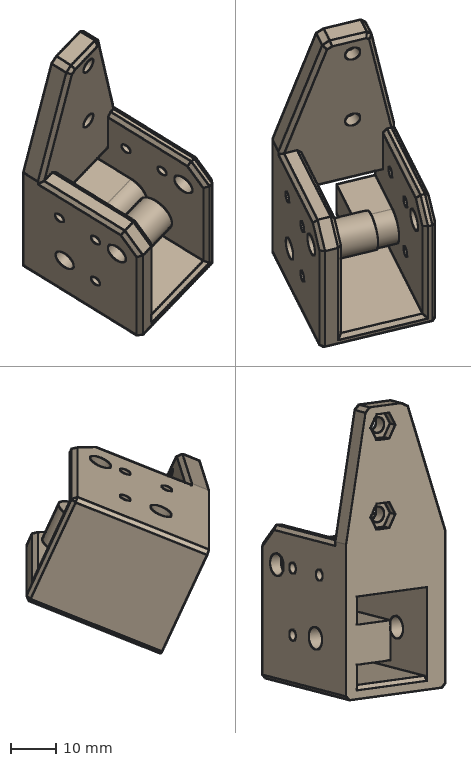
import cadquery as cq

LENGTH = 32.5
WIDTH = 27.0
HEIGHT = 65.0
CHAMFER = 1.0

PLATE_THICKNESS = 5.1
PLATE_TIP_LEFT = 21.7
PLATE_TIP_RIGHT = 10.2
TIP_LEFT_CUT = (1.1, 1.1)
TIP_RIGHT_CUT = (1.75, 0.85)

BOX_HEIGHT = 35.05
BOX_CORNER_CUT = 5.0
NEAR_WALL = 5.0
FAR_WALL = 3.0
FLOOR = 3.0
WINDOW_TOP = 23.0

BOSS_RADIUS = 4.5
BOSS_LENGTH = 9.05
BORE_DIAMETER = 5.0
NEAR_BOSS = (26.0, 26.45)
FAR_BOSS = (11.5, 12.2)

SCREW_DIAMETER = 2.5
SCREW_PITCH = 10.0
SCREW_DROP = 15.0
SCREW_X = 10.1
SCREW_Z = 26.6

NUT_Y = 16.95
NUT_Z = 40.3
NUT_PITCH = 20.0
NUT_ACROSS_CORNERS = 6.7
NUT_DEPTH = 2.0
BOLT_DIAMETER = 3.5

CAVITY_WIDTH = WIDTH - NEAR_WALL - FAR_WALL
CAVITY_FAR_Y = WIDTH - FAR_WALL


def block(corner, size):
    return cq.Workplane("XY").box(*size, centered=False).translate(corner)


def rod_along_y(center, diameter, start_y, length):
    """Cylinder running in +Y from start_y, centred on an (X, Z) point."""
    x, z = center
    axis = cq.Vector(0, 1, 0)
    return cq.Workplane(cq.Solid.makeCylinder(diameter / 2, length, cq.Vector(x, start_y, z), axis))


def make_plate():
    left_run, left_drop = TIP_LEFT_CUT
    right_run, right_drop = TIP_RIGHT_CUT
    outline = [
        (CHAMFER, 0),
        (WIDTH - CHAMFER, 0),
        (WIDTH, CHAMFER),
        (WIDTH, BOX_HEIGHT),
        (PLATE_TIP_LEFT, HEIGHT - left_drop),
        (PLATE_TIP_LEFT - left_run, HEIGHT),
        (PLATE_TIP_RIGHT + right_run, HEIGHT),
        (PLATE_TIP_RIGHT, HEIGHT - right_drop),
        (0, BOX_HEIGHT),
        (0, CHAMFER),
    ]
    plate = cq.Workplane("YZ").polyline(outline).close().extrude(PLATE_THICKNESS)
    plate = plate.faces(">X").edges().chamfer(CHAMFER)
    window = block((0, NEAR_WALL, FLOOR), (PLATE_THICKNESS, CAVITY_WIDTH, WINDOW_TOP - FLOOR))
    return plate.cut(window)


def make_box():
    """U-shaped channel, chamfered along every rim except the mounting face."""
    side = [
        (0, 0),
        (LENGTH, 0),
        (LENGTH, BOX_HEIGHT - BOX_CORNER_CUT),
        (LENGTH - BOX_CORNER_CUT, BOX_HEIGHT),
        (0, BOX_HEIGHT),
    ]
    box = cq.Workplane("XZ").polyline(side).close().extrude(-WIDTH)
    cavity = block((0, NEAR_WALL, FLOOR), (LENGTH, CAVITY_WIDTH, BOX_HEIGHT))
    box = box.cut(cavity)
    wall_tops = box.faces(">Z").edges("|X")
    slopes = box.edges(cq.selectors.ParallelDirSelector(cq.Vector(1, 0, -1)))
    end_uprights = box.faces(">X").edges("|Z")
    base_sides = box.faces("<Z").edges("|X")
    end_base = box.faces("<Z").edges(">X")
    floor_end = box.faces(">X").edges("|Y").edges(
        cq.selectors.BoxSelector((0, 0, FLOOR / 2), (LENGTH * 2, WIDTH, FLOOR * 2))
    )
    rims = wall_tops.add(slopes).add(end_uprights).add(base_sides).add(end_base).add(floor_end)
    return rims.chamfer(CHAMFER)


def window_sill():
    """Wedge that bevels the floor edge under the window."""
    section = [(0, FLOOR), (CHAMFER, FLOOR), (0, FLOOR - CHAMFER)]
    wedge = cq.Workplane("XZ").polyline(section).close().extrude(-CAVITY_WIDTH)
    return wedge.translate((0, NEAR_WALL, 0))


def far_boss():
    """Round-nosed boss whose square tail ends flush with the mounting face."""
    x, z = FAR_BOSS
    start_y = CAVITY_FAR_Y - BOSS_LENGTH
    nose = rod_along_y(FAR_BOSS, 2 * BOSS_RADIUS, start_y, BOSS_LENGTH)
    tail = block((0, start_y, z - BOSS_RADIUS), (x, BOSS_LENGTH, 2 * BOSS_RADIUS))
    return nose.union(tail)


def nut_pockets():
    centers = [(NUT_Y, NUT_Z), (NUT_Y, NUT_Z + NUT_PITCH)]
    face = cq.Workplane("YZ").pushPoints(centers)
    pockets = face.polygon(6, NUT_ACROSS_CORNERS).extrude(NUT_DEPTH)
    bolts = face.circle(BOLT_DIAMETER / 2).extrude(PLATE_THICKNESS)
    return pockets.union(bolts)


result = make_plate().union(make_box()).cut(window_sill())
result = result.union(rod_along_y(NEAR_BOSS, 2 * BOSS_RADIUS, NEAR_WALL, BOSS_LENGTH))
result = result.union(far_boss())

for boss in (NEAR_BOSS, FAR_BOSS):
    result = result.cut(rod_along_y(boss, BORE_DIAMETER, 0, WIDTH))

screw_holes = [
    (SCREW_X, SCREW_Z),
    (SCREW_X + SCREW_PITCH, SCREW_Z),
    (SCREW_X + SCREW_PITCH, SCREW_Z - SCREW_DROP),
]
for hole in screw_holes:
    result = result.cut(rod_along_y(hole, SCREW_DIAMETER, 0, WIDTH))

result = result.cut(nut_pockets())